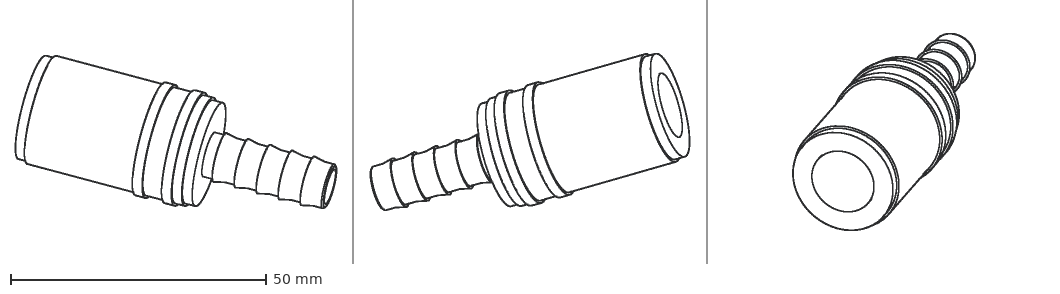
import cadquery as cq


total_length = 61.5
body_length = 36.55

collar_diameter = 23.0
body_diameter = 22.0
end_step_diameter = 21.05
end_step_length = 2.0

collar_width = 2.0
collar_starts = (24.5, 30.5)

hose_tail_diameter = 9.0
barb_diameter = 9.95
barb_count = 5
tail_chamfer = 0.3

socket_diameter = 13.05
socket_depth = collar_starts[0]
bore_diameter = 7.0

tail_length = total_length - body_length
barb_length = tail_length / (2 * barb_count + 1)


def rod(start, length, diameter):
    """Solid cylinder along X."""
    return cq.Workplane("YZ", origin=(start, 0, 0)).circle(diameter / 2).extrude(length)


def barb(start):
    """Ring with a sharp step towards the body and a conical flank falling to the tail."""
    crest = barb_diameter / 2
    root = hose_tail_diameter / 2
    end = start + barb_length
    return (
        cq.Workplane("XY")
        .moveTo(start, 0)
        .lineTo(start, crest)
        .lineTo(end, root)
        .lineTo(end, 0)
        .close()
        .revolve(360, (0, 0, 0), (1, 0, 0))
    )


body = rod(0, body_length, end_step_diameter)
body = body.union(rod(end_step_length, body_length - 2 * end_step_length, body_diameter))
for collar_start in collar_starts:
    body = body.union(rod(collar_start, collar_width, collar_diameter))

tail = rod(body_length, tail_length, hose_tail_diameter).faces(">X").chamfer(tail_chamfer)
for index in range(barb_count):
    tail = tail.union(barb(body_length + (2 * index + 1) * barb_length))

socket = rod(0, socket_depth, socket_diameter)
passage = rod(0, total_length, bore_diameter)

result = body.union(tail).cut(socket).cut(passage)